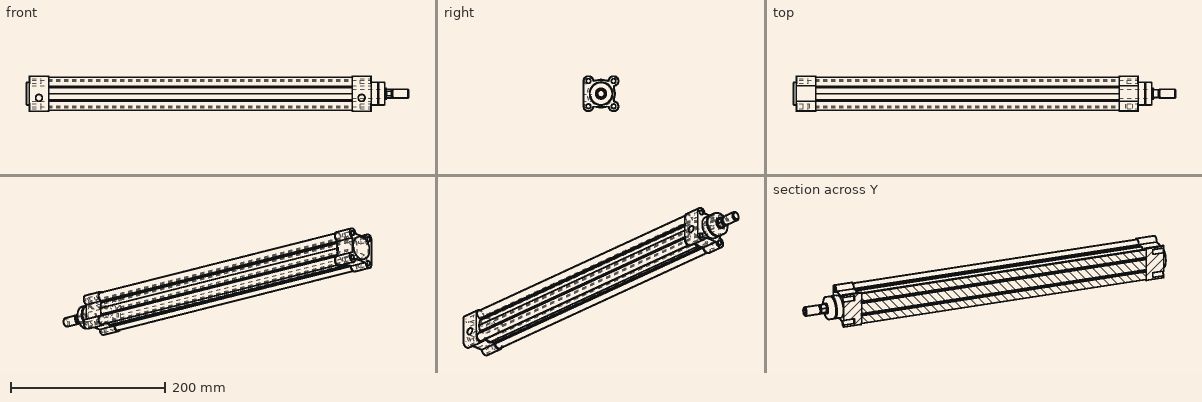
import cadquery as cq
import math

total_length = 496.0
boss_length = 4.0
rear_cap_length = 25.0
front_cap_length = 24.5
neck_length = 18.0
rod_reach = 31.0

rear_face = boss_length - total_length / 2
barrel_start = rear_face + rear_cap_length
neck_end = total_length / 2 - rod_reach
front_face = neck_end - neck_length
barrel_end = front_face - front_cap_length
barrel_length = barrel_end - barrel_start

cap_half = 23.0
screw_offset = 16.5
cap_flat = 34.0 / 2
lobe_radius = cap_half - screw_offset
screw_hole_radius = 3.0
screw_hole_depth = 15.0
boss_radius = 15.0
boss_fillet = 2.0
port_radius = 4.5
port_depth = 10.0
port_drop = 5.5
port_inset = 12.5

neck_groove_start = 8.5
neck_groove_width = 1.5
neck_groove_depth = 0.5

bore_radius = 16.0
tube_radius = 36.0 / 2
arm_width = 10.5
core_half = 16.5
channel_half_width = 10.0
ridge_half_width = 4.0

rod_radius = 6.0
collar_radius = 7.0
collar_length = 1.5
groove_start = 8.5
groove_width = 2.0
groove_depth = 1.5
rod_chamfer = 1.5
flats_start = 2.5
wrench_flat_width = 10.5

screw_points = [(y, z) for y in (-screw_offset, screw_offset) for z in (-screw_offset, screw_offset)]


def section_at(x):
    """Workplane across the cylinder axis at x: local axes are Y and Z, extruding toward +X."""
    return cq.Workplane("YZ", origin=(x, 0, 0))


def cylinder(x, length, radius):
    return section_at(x).circle(radius).extrude(length)


def ring(x, width, outer_radius, depth):
    return section_at(x).circle(outer_radius).circle(outer_radius - depth).extrude(width)


def make_cap_block(outer_face, inward_length):
    """Cap block from its outer face; inward_length is signed along X toward the barrel."""
    inward = math.copysign(1, inward_length)
    block = section_at(outer_face).rect(2 * cap_flat, 2 * cap_flat).extrude(inward_length)
    lobes = section_at(outer_face).pushPoints(screw_points).circle(lobe_radius).extrude(inward_length)
    port_pad = (
        section_at(outer_face)
        .center(-cap_half / 2, 0)
        .rect(cap_half, 2 * screw_offset)
        .extrude(inward_length)
    )
    screw_holes = (
        section_at(outer_face)
        .pushPoints(screw_points)
        .circle(screw_hole_radius)
        .extrude(inward * screw_hole_depth)
    )
    port = (
        cq.Workplane("XZ", origin=(outer_face + inward * port_inset, -cap_half, -port_drop))
        .circle(port_radius)
        .extrude(-port_depth)
    )
    return block.union(lobes).union(port_pad).cut(screw_holes).cut(port)


def make_rear_cap():
    boss = cylinder(-total_length / 2, boss_length, boss_radius).faces("<X").fillet(boss_fillet)
    return make_cap_block(rear_face, rear_cap_length).union(boss)


def make_front_cap():
    neck = cylinder(front_face, neck_length, boss_radius).faces(">X").edges().fillet(boss_fillet)
    groove = ring(front_face + neck_groove_start, neck_groove_width, boss_radius, neck_groove_depth)
    rod_hole = cylinder(barrel_end, front_cap_length + neck_length, rod_radius)
    return make_cap_block(front_face, -front_cap_length).union(neck).cut(groove).cut(rod_hole)


def make_barrel():
    arm_span = 2 * screw_offset * math.sqrt(2) + arm_width
    barrel = section_at(barrel_start).rect(2 * core_half, 2 * core_half).extrude(barrel_length)
    for angle in (45, -45):
        arm = section_at(barrel_start).slot2D(arm_span, arm_width, angle).extrude(barrel_length)
        barrel = barrel.union(arm)

    channel_depth = tube_radius - core_half
    channel = (
        section_at(barrel_start)
        .center(0, core_half + channel_depth / 2)
        .rect(2 * channel_half_width, channel_depth)
        .extrude(barrel_length)
    )

    tangent_height = math.sqrt(tube_radius**2 - ridge_half_width**2)
    ridge_height = tube_radius**2 / tangent_height
    ridge = (
        section_at(barrel_start)
        .moveTo(-ridge_half_width, tangent_height)
        .lineTo(0, ridge_height)
        .lineTo(ridge_half_width, tangent_height)
        .lineTo(0, bore_radius)
        .close()
        .extrude(barrel_length)
    )

    tube = cylinder(barrel_start, barrel_length, tube_radius)
    for turn in range(4):
        barrel = barrel.cut(channel.rotate((0, 0, 0), (1, 0, 0), 90 * turn))
        tube = tube.union(ridge.rotate((0, 0, 0), (1, 0, 0), 90 * turn))

    return barrel.union(tube).cut(cylinder(barrel_start, barrel_length, bore_radius))


def make_rod():
    rod = cylinder(barrel_end, total_length / 2 - barrel_end, rod_radius).faces(">X").chamfer(rod_chamfer)
    collar = cylinder(neck_end, collar_length, collar_radius)
    groove = ring(neck_end + groove_start, groove_width, rod_radius, groove_depth)
    flats_length = groove_start - flats_start
    flats = (
        section_at(neck_end + flats_start)
        .rect(2 * rod_radius, 2 * rod_radius)
        .rect(wrench_flat_width, 2 * rod_radius)
        .extrude(flats_length)
    )
    return rod.union(collar).cut(groove).cut(flats)


rear_cap = make_rear_cap()
barrel = make_barrel()
front_cap = make_front_cap()
rod = make_rod()

result = cq.Compound.makeCompound([rear_cap.val(), barrel.val(), front_cap.val(), rod.val()])